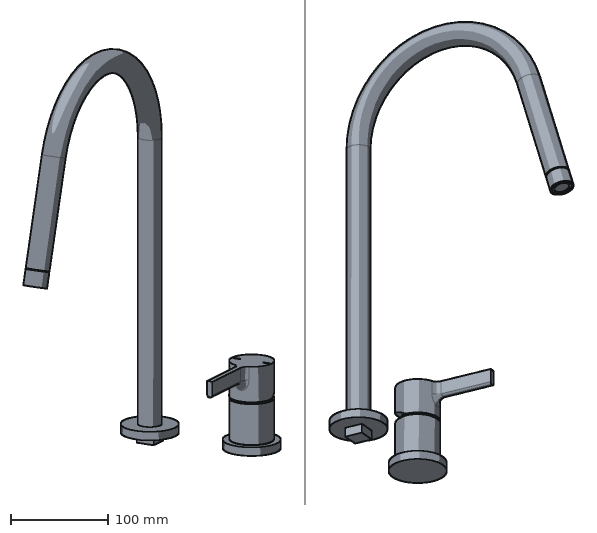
import cadquery as cq
import math

valve_spacing = 120.0
flange_radius = 30.0
flange_height = 9.3

tube_radius = 12.5
bend_radius = 104.0
column_top = 316.66
outlet_tilt = 16.9
spout_reach = 255.0
nozzle_length = 18.0
seam_width = 1.0
seam_depth = 0.4
outlet_rim_radius = 10.5
outlet_mouth_radius = 8.0
outlet_step_depth = 0.3
shank_side = 20.0
shank_length = 10.0

body_radius = 23.4
body_top = 53.6
body_foot_chamfer = 0.8
cap_bottom = 55.8
cap_top = 93.7
cap_relief_rise = 11.3
cone_base_radius = 21.0
cone_top_radius = 13.0
cone_height = 13.0
lever_width = 6.5
lever_height = 17.3
lever_reach = 89.0
lever_root_fillet = 8.5
selector_margin = 1.0
mark_inner = 13.5
mark_outer = 21.0
mark_width = 0.8
mark_depth = 0.4


def disc(radius, bottom, top):
    """Upright cylinder on the Z axis between two heights."""
    return cq.Workplane("XY").workplane(offset=bottom).circle(radius).extrude(top - bottom)


def make_spout():
    """Square shank, flange, gooseneck tube and outlet as one solid."""
    tilt = math.radians(outlet_tilt)
    along = (-math.sin(tilt), -math.cos(tilt))
    bend_end_y = -bend_radius * (1 + math.cos(tilt))
    bend_end_z = column_top + bend_radius * math.sin(tilt)
    bend_mid = (-bend_radius, column_top + bend_radius)
    outer_edge = tube_radius * math.cos(tilt)
    outlet_length = (spout_reach + bend_end_y - outer_edge) / math.sin(tilt)

    def outlet_point(distance):
        return (bend_end_y + distance * along[0], bend_end_z + distance * along[1])

    def outlet_plane(distance):
        y, z = outlet_point(distance)
        return cq.Plane(origin=(0, y, z), xDir=(1, 0, 0), normal=(0, along[0], along[1]))

    path = (
        cq.Workplane("YZ")
        .lineTo(0, column_top)
        .threePointArc(bend_mid, (bend_end_y, bend_end_z))
        .lineTo(*outlet_point(outlet_length))
    )
    tube = cq.Workplane("XY").circle(tube_radius).sweep(path)

    seam_start = outlet_length - nozzle_length
    seam = (
        cq.Workplane(outlet_plane(seam_start))
        .circle(tube_radius + seam_depth)
        .circle(tube_radius - seam_depth)
        .extrude(seam_width)
    )
    rim = (
        cq.Workplane(outlet_plane(outlet_length))
        .circle(outlet_rim_radius)
        .extrude(-outlet_step_depth)
    )
    mouth = (
        cq.Workplane(outlet_plane(outlet_length))
        .circle(outlet_mouth_radius)
        .extrude(-2 * outlet_step_depth)
    )
    shank = cq.Workplane("XY").rect(shank_side, shank_side).extrude(-shank_length)
    flange = disc(flange_radius, 0, flange_height)
    return tube.union(flange).union(shank).cut(seam).cut(rim).cut(mouth)


def make_base():
    """Fixed lower part of the mixer: flange, body and the cone that carries the cap."""
    body = disc(body_radius, flange_height, body_top).faces("<Z").chamfer(body_foot_chamfer)
    cone = cq.Workplane(
        cq.Solid.makeCone(cone_base_radius, cone_top_radius, cone_height, pnt=cq.Vector(0, 0, body_top))
    )
    return disc(flange_radius, 0, flange_height).union(body).union(cone)


def make_handle():
    """Cap with its lever toward -Y, its back relief and its temperature marks."""
    cap = disc(body_radius, cap_bottom, cap_top)

    half_width = lever_width / 2
    lever_bottom = cap_top - lever_height
    round_center = lever_bottom + half_width
    lever = (
        cq.Workplane("XZ")
        .moveTo(-half_width, cap_top)
        .lineTo(-half_width, round_center)
        .threePointArc((0, lever_bottom), (half_width, round_center))
        .lineTo(half_width, cap_top)
        .close()
        .extrude(lever_reach)
    )
    root_zone = cq.selectors.BoxSelector(
        (-lever_width, -body_radius - selector_margin, lever_bottom - selector_margin),
        (lever_width, -body_radius + selector_margin, cap_top - selector_margin),
    )
    handle = cap.union(lever).edges(root_zone).fillet(lever_root_fillet)

    relief = (
        cq.Workplane("YZ")
        .moveTo(0, cap_bottom)
        .lineTo(body_radius, cap_bottom + cap_relief_rise)
        .lineTo(body_radius, cap_bottom)
        .close()
        .extrude(body_radius, both=True)
    )
    mark_middle = (mark_inner + mark_outer) / 2
    marks = (
        cq.Workplane("XY")
        .workplane(offset=cap_top)
        .pushPoints([(-mark_middle, 0), (mark_middle, 0)])
        .rect(mark_outer - mark_inner, mark_width)
        .extrude(-mark_depth)
    )
    return handle.cut(relief).cut(marks)


spout = make_spout()
mixer = make_base().union(make_handle()).translate((valve_spacing, 0, 0))

result = cq.Compound.makeCompound([spout.val(), mixer.val()])